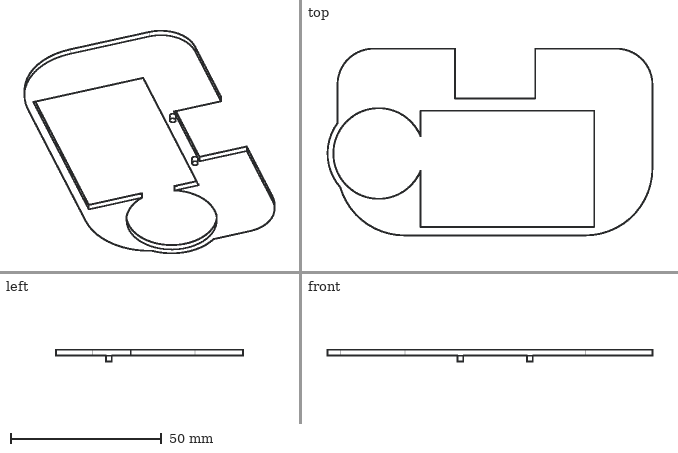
import cadquery as cq

plate_length = 104.5
plate_width = 62.0
plate_thickness = 2.0
top_corner_radius = 12.0
bottom_corner_radius = 22.3

overall_length = 107.8
opening_radius = 15.0
rim_width = 2.0
rim_radius = opening_radius + rim_width
opening_x = rim_radius - (overall_length - plate_length)
opening_y = 27.2

window_length = 57.5
window_width = 38.4
window_left = 27.6
window_bottom = 2.9

notch_length = 26.6
notch_depth = 16.5
notch_left = 39.0
notch_bottom = plate_width - notch_depth

pin_diameter = 2.0
overall_height = 4.0
pin_length = overall_height - plate_thickness
pin_spacing = 23.0
pin_middle_x = notch_left + notch_length / 2
pin_y = notch_bottom - pin_diameter / 2


def block(left, bottom, length, width):
    """Plate-thick rectangular block placed by its lower left corner."""
    return cq.Workplane("XY").box(length, width, plate_thickness, centered=False).translate((left, bottom, 0))


def disc(radius):
    """Plate-thick disc centred on the round opening."""
    return cq.Workplane("XY").center(opening_x, opening_y).circle(radius).extrude(plate_thickness)


def rounded_plate():
    plate = block(0, 0, plate_length, plate_width)
    plate = plate.edges("|Z and >Y").fillet(top_corner_radius)
    return plate.edges("|Z and <Y").fillet(bottom_corner_radius)


def pin(x):
    return cq.Workplane("XY").center(x, pin_y).circle(pin_diameter / 2).extrude(-pin_length)


result = rounded_plate().union(disc(rim_radius))
result = result.cut(disc(opening_radius))
result = result.cut(block(window_left, window_bottom, window_length, window_width))
result = result.cut(block(notch_left, notch_bottom, notch_length, notch_depth))
for side in (-1, 1):
    result = result.union(pin(pin_middle_x + side * pin_spacing / 2))